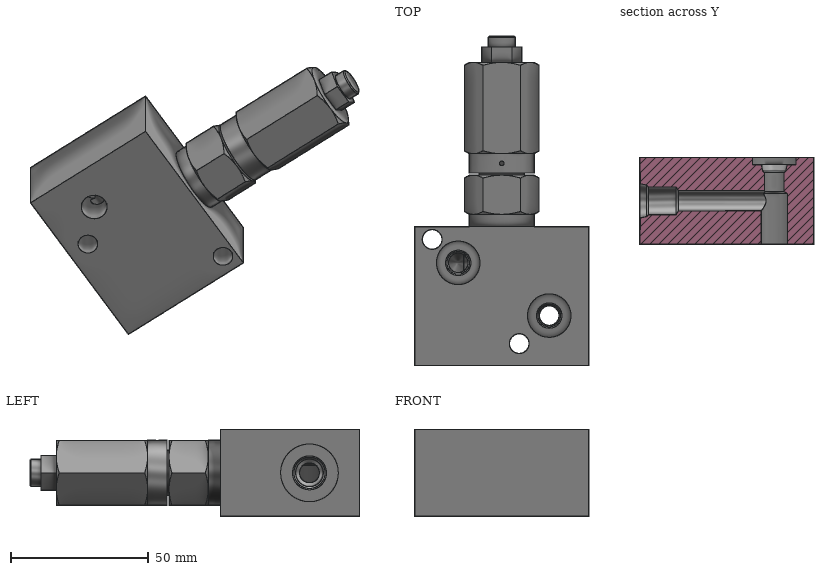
import cadquery as cq
import math

BLOCK_X = 63.5
BLOCK_Y = 50.8
BLOCK_Z = 31.8
BLOCK_TOP = BLOCK_Z / 2
LEFT_FACE = -BLOCK_X / 2

COLLAR_END = 55.2
LOWER_HEX_END = 69.5
NECK_END = 70.2
BAND_END = 77.3
UPPER_HEX_END = 110.7
LOCKNUT_END = 116.3
SCREW_END = 120.3

HEX_FLATS = 23.7
COLLAR_DIA = 23.8
NECK_DIA = 16.6
LOCKNUT_FLATS = 12.8
SCREW_DIA = 10.0
SCREW_CHAMFER = 0.5
HEX_BEVEL_ANGLE = 30
WEEP_HOLE_DIA = 1.7

MOUNT_HOLE_DIA = 7.1
MOUNT_HOLES = [(-25.4, 46.1), (6.4, 8.0)]

SEAT_DEPTH = 2.4
SEAT_TAPER_ANGLE = 12
DRILL_TIP_ANGLE = 118

TOP_SPOTFACE_DIA = 15.9
TOP_SPOTFACE_DEPTH = 2.6
TOP_SEAT_DIA = 9.3
TOP_BORE_DIA = 7.1
BACK_BORE_DEPTH = 19.5
BACK_PORT = (-15.9, 37.5)
FRONT_PORT = (17.3, 18.3)

SIDE_SPOTFACE_DIA = 21.0
SIDE_SPOTFACE_DEPTH = 0.1
SIDE_SEAT_DIA = 12.4
SIDE_BORE_DIA = 10.1
SIDE_BORE_DEPTH = 13.2

GALLERY_DIA = 7.2
LOWER_BORE_DIA = 9.4
LOWER_BORE_TOP = 2.6
CROSS_DRILL_DIA = 9.6
CROSS_DRILL_SHOULDER = -13.8


def tip_length(diameter):
    """Height of a full drill-tip cone."""
    return diameter / 2 / math.tan(math.radians(DRILL_TIP_ANGLE / 2))


def along_y(start):
    """Workplane on the cartridge axis at a Y station, extruding toward +Y."""
    return cq.Workplane("XZ", origin=(0, start, 0))


def round_section(start, end, diameter):
    return along_y(start).circle(diameter / 2).extrude(start - end)


def hex_section(start, end, flats):
    """Hexagonal prism along Y with flats facing +Z and -Z."""
    corners = flats / math.cos(math.pi / 6)
    return along_y(start).polygon(6, corners).extrude(start - end)


def bevelled_hex(start, end, flats):
    """Hexagonal prism whose corners are turned down to the flats at both ends."""
    flat_radius = flats / 2
    corner_radius = flat_radius / math.cos(math.pi / 6)
    bevel = (corner_radius - flat_radius) * math.tan(math.radians(HEX_BEVEL_ANGLE))
    envelope = (
        cq.Workplane("XY")
        .polyline([
            (0, start),
            (flat_radius, start),
            (corner_radius, start + bevel),
            (corner_radius, end - bevel),
            (flat_radius, end),
            (0, end),
        ])
        .close()
        .revolve(360, (0, 0, 0), (0, 1, 0))
    )
    return hex_section(start, end, flats).intersect(envelope)


def make_cartridge():
    screw = round_section(LOCKNUT_END, SCREW_END, SCREW_DIA).faces(">Y").chamfer(SCREW_CHAMFER)
    weep_hole = (
        cq.Workplane("XY", origin=(0, (NECK_END + BAND_END) / 2, NECK_DIA / 2))
        .circle(WEEP_HOLE_DIA / 2)
        .extrude(COLLAR_DIA / 2)
    )
    return (
        round_section(BLOCK_Y, COLLAR_END, COLLAR_DIA)
        .union(bevelled_hex(COLLAR_END, LOWER_HEX_END, HEX_FLATS))
        .union(round_section(LOWER_HEX_END, NECK_END, NECK_DIA))
        .union(round_section(NECK_END, BAND_END, COLLAR_DIA))
        .union(bevelled_hex(BAND_END, UPPER_HEX_END, HEX_FLATS))
        .union(hex_section(UPPER_HEX_END, LOCKNUT_END, LOCKNUT_FLATS))
        .union(screw)
        .cut(weep_hole)
    )


def port_tool(spotface_dia, spotface_depth, seat_dia, bore_dia, bore_depth):
    """Port cutter with its mouth on Z = 0, pointing down -Z and ending in a drill tip."""
    seat_end_radius = seat_dia / 2 - SEAT_DEPTH * math.tan(math.radians(SEAT_TAPER_ANGLE))
    bore_radius = bore_dia / 2
    seat_end = spotface_depth + SEAT_DEPTH
    lead_in_end = seat_end + seat_end_radius - bore_radius
    return (
        cq.Workplane("XZ")
        .polyline([
            (0, 0),
            (spotface_dia / 2, 0),
            (spotface_dia / 2, -spotface_depth),
            (seat_dia / 2, -spotface_depth),
            (seat_end_radius, -seat_end),
            (bore_radius, -lead_in_end),
            (bore_radius, -bore_depth),
            (0, -bore_depth - tip_length(bore_dia)),
        ])
        .close()
        .revolve(360, (0, 0, 0), (0, 1, 0))
    )


def top_port(position, bore_depth):
    x, y = position
    tool = port_tool(TOP_SPOTFACE_DIA, TOP_SPOTFACE_DEPTH, TOP_SEAT_DIA, TOP_BORE_DIA, bore_depth)
    return tool.translate((x, y, BLOCK_TOP))


def side_port():
    """Port in the left face, level with the front top port."""
    tool = port_tool(
        SIDE_SPOTFACE_DIA, SIDE_SPOTFACE_DEPTH, SIDE_SEAT_DIA, SIDE_BORE_DIA, SIDE_BORE_DEPTH
    )
    return tool.rotate((0, 0, 0), (0, 1, 0), -90).translate((LEFT_FACE, FRONT_PORT[1], 0))


def gallery():
    """Passage along X joining the side port to the front top port."""
    start = LEFT_FACE + SIDE_BORE_DEPTH
    return (
        cq.Workplane("YZ", origin=(start, FRONT_PORT[1], 0))
        .circle(GALLERY_DIA / 2)
        .extrude(FRONT_PORT[0] - start)
    )


def lower_bore():
    """Wider bore rising from the bottom face into the front top port."""
    radius = LOWER_BORE_DIA / 2
    tip_top = LOWER_BORE_TOP + tip_length(LOWER_BORE_DIA)
    return (
        cq.Workplane("XZ")
        .polyline([(0, -BLOCK_TOP), (radius, -BLOCK_TOP), (radius, LOWER_BORE_TOP), (0, tip_top)])
        .close()
        .revolve(360, (0, 0, 0), (0, 1, 0))
        .translate((*FRONT_PORT, 0))
    )


def cross_drill():
    """Blind passage along X from the cartridge axis into the back top port bore."""
    radius = CROSS_DRILL_DIA / 2
    apex = CROSS_DRILL_SHOULDER - tip_length(CROSS_DRILL_DIA)
    return (
        cq.Workplane("XY")
        .polyline([(apex, 0), (CROSS_DRILL_SHOULDER, radius), (0, radius), (0, 0)])
        .close()
        .revolve(360, (0, 0, 0), (1, 0, 0))
        .translate((0, BACK_PORT[1], 0))
    )


def make_block():
    block = cq.Workplane("XY").box(BLOCK_X, BLOCK_Y, BLOCK_Z).translate((0, BLOCK_Y / 2, 0))
    mount_holes = (
        cq.Workplane("XY", origin=(0, 0, -BLOCK_TOP))
        .pushPoints(MOUNT_HOLES)
        .circle(MOUNT_HOLE_DIA / 2)
        .extrude(BLOCK_Z)
    )
    return (
        block.cut(mount_holes)
        .cut(top_port(BACK_PORT, BACK_BORE_DEPTH))
        .cut(top_port(FRONT_PORT, BLOCK_Z))
        .cut(side_port())
        .cut(gallery())
        .cut(lower_bore())
        .cut(cross_drill())
    )


result = make_block().union(make_cartridge())